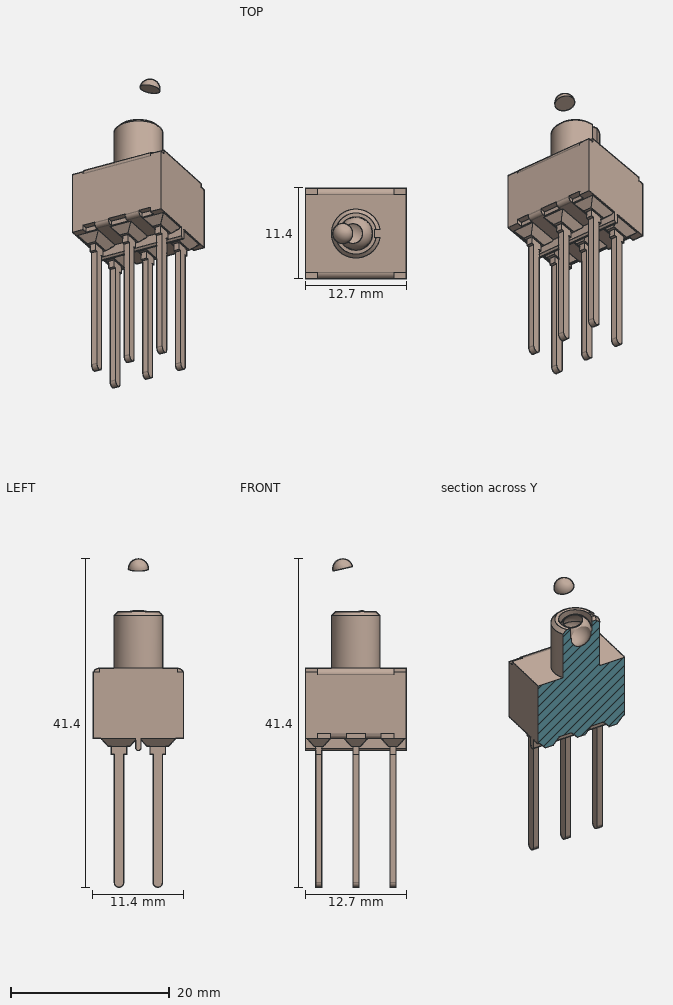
import cadquery as cq
import math

CASE_X = 12.7
CASE_Y = 11.4
CASE_TOP = 8.85

COVER_X = 9.65
COVER_THICK = 0.8
COVER_BOTTOM = 0.6
POST_DROP = 0.5
TAB_WIDTH = 2.0
TAB_OFFSET = 2.2
TAB_BEND_RADIUS = 0.55

BUSHING_DIA = 6.15
BUSHING_HEIGHT = 7.1
BUSHING_CHAMFER = 0.5
BUSHING_TOP = CASE_TOP + BUSHING_HEIGHT
BORE_DIA = 4.2
KEYWAY_WIDTH = 1.0
KEYWAY_FLOOR_X = 2.3

BALL_RADIUS = BORE_DIA / 2
BALL_WALL = 0.1
PIVOT_DEPTH = 1.78
PIVOT_Z = BUSHING_TOP - PIVOT_DEPTH
LEVER_TILT = 13
BALL_MOUTH_RADIUS = 1.25
TIP_RADIUS = 1.3
TIP_TOP = 22.6

TERMINAL_PITCH_X = 4.67
TERMINAL_PITCH_Y = 4.88
TERMINAL_THICK = 0.8
TERMINAL_WIDTH = 1.2
OVERALL_HEIGHT = 41.35
TERMINAL_LENGTH = OVERALL_HEIGHT - TIP_TOP
SHOULDER_WIDTH = 2.0
SHOULDER_BOTTOM = 2.0
COLLAR_DEPTH = 1.0
COLLAR_TOP_X = 2.98
COLLAR_TOP_Y = 4.55
COLLAR_TAPER = 0.9

RIB_THICK = 0.7
RIB_DEPTH = 1.55
RIB_CHAMFER = 0.25


def box_between(x_size, y_size, z_low, z_high):
    """A box centred on the Z axis that spans the two heights."""
    return cq.Workplane("XY").workplane(offset=z_low).rect(x_size, y_size).extrude(z_high - z_low)


def make_case():
    """The case block, stepped down at its four corner posts."""
    core = box_between(CASE_X, CASE_Y - 2 * COVER_THICK, 0, CASE_TOP)
    posts = box_between(CASE_X, CASE_Y, 0, CASE_TOP - POST_DROP)
    gap = box_between(COVER_X, CASE_Y, 0, CASE_TOP)
    return core.union(posts.cut(gap))


def make_cover():
    """The two cover panels, rounded at the top, with bent tabs at the bottom."""
    panels = box_between(COVER_X, CASE_Y, COVER_BOTTOM, CASE_TOP)
    panels = panels.edges("|X and >Z").fillet(COVER_THICK)
    for x in (-TAB_OFFSET, TAB_OFFSET):
        tab = box_between(TAB_WIDTH, CASE_Y, 0, CASE_TOP / 2)
        tab = tab.edges("|X and <Z").fillet(TAB_BEND_RADIUS)
        panels = panels.union(tab.translate((x, 0, 0)))
    return panels


def make_bushing():
    """The chamfered bushing with its bore down to the ball's middle and its keyway."""
    bushing = (
        cq.Workplane("XY")
        .workplane(offset=CASE_TOP)
        .circle(BUSHING_DIA / 2)
        .extrude(BUSHING_HEIGHT)
        .faces(">Z")
        .chamfer(BUSHING_CHAMFER)
    )
    bore = cq.Workplane("XY").workplane(offset=PIVOT_Z).circle(BORE_DIA / 2).extrude(PIVOT_DEPTH)
    keyway = box_between(BUSHING_DIA, KEYWAY_WIDTH, CASE_TOP, BUSHING_TOP)
    keyway = keyway.translate((KEYWAY_FLOOR_X + BUSHING_DIA / 2, 0, 0))
    return bushing.cut(bore).cut(keyway)


def on_lever(shape):
    """Moves a shape built upward from the origin onto the lever axis, which leans toward -X."""
    return shape.rotate((0, 0, 0), (0, 1, 0), -LEVER_TILT).translate((0, 0, PIVOT_Z))


def make_ball():
    """The upper half of the lever's ball."""
    upper_half = box_between(2 * BALL_RADIUS, 2 * BALL_RADIUS, 0, BALL_RADIUS)
    return cq.Workplane("XY").sphere(BALL_RADIUS).intersect(upper_half).translate((0, 0, PIVOT_Z))


def make_ball_cavity():
    """The round hollow inside the ball and its open mouth along the lever axis."""
    hollow = cq.Workplane("XY").sphere(BALL_RADIUS - BALL_WALL)
    mouth = cq.Workplane("XY").circle(BALL_MOUTH_RADIUS).extrude(2 * BALL_RADIUS)
    return on_lever(hollow.union(mouth))


def make_terminal():
    """One terminal with its flared collar, hanging down from z = 0."""
    collar = (
        cq.Workplane("XY")
        .rect(COLLAR_TOP_X, COLLAR_TOP_Y)
        .workplane(offset=-COLLAR_DEPTH)
        .rect(COLLAR_TOP_X - 2 * COLLAR_TAPER, COLLAR_TOP_Y - 2 * COLLAR_TAPER)
        .loft(combine=True)
    )
    shoulder = box_between(TERMINAL_THICK, SHOULDER_WIDTH, -SHOULDER_BOTTOM, 0)
    half_width = TERMINAL_WIDTH / 2
    round_start = half_width - TERMINAL_LENGTH
    blade = (
        cq.Workplane("YZ")
        .moveTo(-half_width, 0)
        .lineTo(-half_width, round_start)
        .threePointArc((0, -TERMINAL_LENGTH), (half_width, round_start))
        .lineTo(half_width, 0)
        .close()
        .extrude(TERMINAL_THICK / 2, both=True)
    )
    return collar.union(shoulder).union(blade)


def make_rib():
    """The rib across the underside, with its lower edges bevelled."""
    rib = box_between(CASE_X, RIB_THICK, -RIB_DEPTH, 0)
    return rib.edges("|X and <Z").chamfer(RIB_CHAMFER)


def make_switch():
    """The switch body: case, cover, bushing, ball, rib and six terminals."""
    switch = make_case().union(make_cover()).union(make_bushing())
    switch = switch.union(make_ball()).cut(make_ball_cavity())
    switch = switch.union(make_rib())
    terminal = make_terminal()
    for column in (-1, 0, 1):
        for row in (-0.5, 0.5):
            place = (column * TERMINAL_PITCH_X, row * TERMINAL_PITCH_Y, 0)
            switch = switch.union(terminal.translate(place))
    return switch


def make_lever_tip():
    """The half-ball tip of the lever, square to the tilted lever axis."""
    tip_distance = (TIP_TOP - TIP_RADIUS - PIVOT_Z) / math.cos(math.radians(LEVER_TILT))
    upper_half = box_between(2 * TIP_RADIUS, 2 * TIP_RADIUS, 0, TIP_RADIUS)
    tip = cq.Workplane("XY").sphere(TIP_RADIUS).intersect(upper_half)
    return on_lever(tip.translate((0, 0, tip_distance)))


switch = make_switch()
lever_tip = make_lever_tip()

result = cq.Compound.makeCompound([switch.solids().val(), lever_tip.solids().val()])